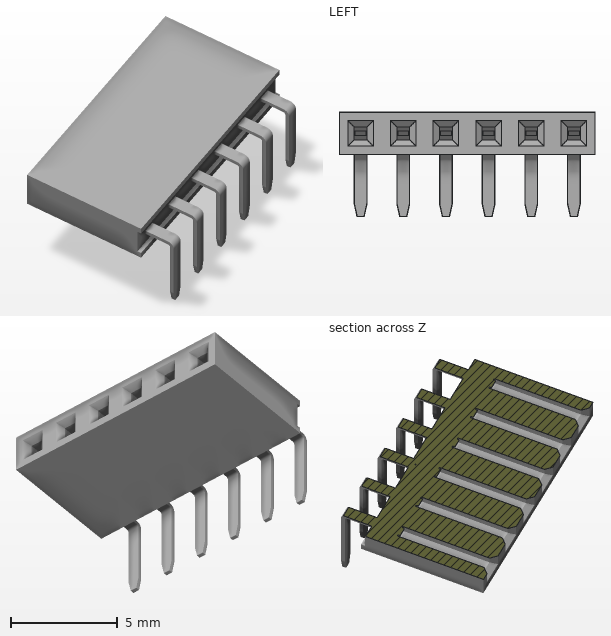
import cadquery as cq

overall_length = 12.0
overall_depth = 7.72
overall_height = 4.9

contact_count = 6
pitch = overall_length / contact_count
housing_depth = 6.35
housing_height = pitch
back_groove_depth = 0.2
back_lip = 0.32

socket_mouth = 1.2
socket_bore = 0.6
socket_lead_in = 0.3
socket_depth = 4.8

pin_width = 0.6
pin_thickness = 0.2
pin_bend_radius = 0.32
pin_tip_width = 0.34
pin_tip_length = 0.59
contact_end_width = 0.5
contact_end_length = 0.12

leg_bottom = housing_height / 2 - overall_height
groove_floor_x = housing_depth - back_groove_depth
contact_positions = [(i - (contact_count - 1) / 2) * pitch for i in range(contact_count)]


def make_housing():
    """Rectangular block with a shallow groove along its whole back face."""
    block = cq.Workplane("XY").box(
        housing_depth, overall_length, housing_height, centered=(False, True, True)
    )
    groove = (
        cq.Workplane("XY")
        .box(
            back_groove_depth,
            overall_length,
            housing_height - 2 * back_lip,
            centered=(False, True, True),
        )
        .translate((groove_floor_x, 0, 0))
    )
    return block.cut(groove)


def make_socket():
    """Cutter for one square blind socket with a tapered mouth."""
    lead_in = (
        cq.Workplane("YZ")
        .rect(socket_mouth, socket_mouth)
        .workplane(offset=socket_lead_in)
        .rect(socket_bore, socket_bore)
        .loft(ruled=True)
    )
    bore = cq.Workplane("YZ").box(
        socket_bore, socket_bore, socket_depth, centered=(True, True, False)
    )
    return lead_in.union(bore)


def make_contact_end():
    """Narrow end of a pin standing out from the bottom of its socket."""
    return (
        cq.Workplane("XY")
        .box(contact_end_length, contact_end_width, pin_thickness, centered=(False, True, True))
        .translate((socket_depth - contact_end_length, 0, 0))
    )


def make_pin():
    """Flat pin leaving the back of the housing, bent down into a pointed leg."""
    arm_top = pin_thickness / 2
    leg_inner_x = overall_depth - pin_thickness
    bent_strip = (
        cq.Workplane("XZ")
        .moveTo(socket_depth, arm_top)
        .lineTo(overall_depth - pin_bend_radius, arm_top)
        .radiusArc((overall_depth, arm_top - pin_bend_radius), pin_bend_radius)
        .lineTo(overall_depth, leg_bottom)
        .lineTo(leg_inner_x, leg_bottom)
        .lineTo(leg_inner_x, arm_top - pin_bend_radius)
        .radiusArc(
            (overall_depth - pin_bend_radius, -arm_top), -(pin_bend_radius - pin_thickness)
        )
        .lineTo(socket_depth, -arm_top)
        .close()
        .extrude(pin_width / 2, both=True)
    )
    tip_start = leg_bottom + pin_tip_length
    width_outline = (
        cq.Workplane("YZ")
        .moveTo(-pin_width / 2, arm_top)
        .lineTo(pin_width / 2, arm_top)
        .lineTo(pin_width / 2, tip_start)
        .lineTo(pin_tip_width / 2, leg_bottom)
        .lineTo(-pin_tip_width / 2, leg_bottom)
        .lineTo(-pin_width / 2, tip_start)
        .close()
        .extrude(overall_depth)
    )
    return bent_strip.intersect(width_outline)


socket = make_socket()
contact = make_pin().union(make_contact_end())

result = make_housing()
for y in contact_positions:
    result = result.cut(socket.translate((0, y, 0)))
    result = result.union(contact.translate((0, y, 0)))